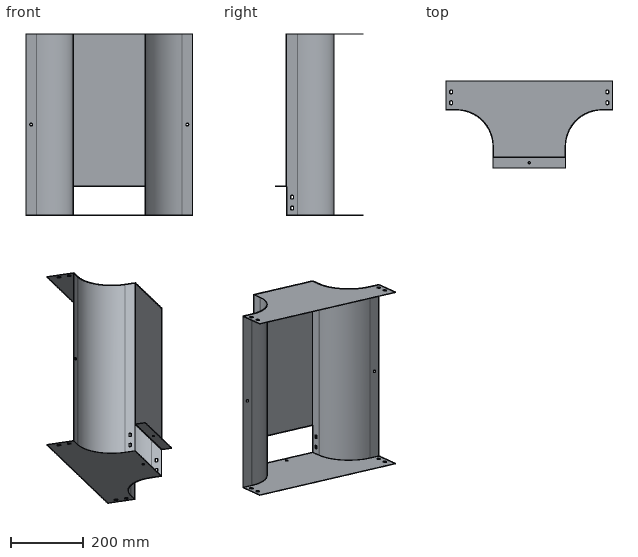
import cadquery as cq
import math

sheet = 1.0
run_length = 460.0
branch_width = 200.0
height = 500.0
tab = 30.0
run_depth = 80.0
bend_radius = run_length / 2 - tab - branch_width / 2
branch_depth = run_depth + bend_radius + tab
opening_height = 80.0

slot_length = 10.0
slot_width = 7.0
slot_pitch = 30.0
slots_per_row = 2
lowest_slot_height = 20.0
run_slot_offset = 30.0
flange_hole_diameter = 5.0
margin_hole_diameter = 7.0

half_run = run_length / 2
half_branch = branch_width / 2
bend_start = half_run - tab
margin_center = tab / 2
back_y = (branch_depth + tab) / 2
run_front_y = back_y - run_depth
branch_front_y = back_y - branch_depth
bend_center_y = run_front_y - bend_radius
bottom_z = -height / 2
flange_z = bottom_z + opening_height - sheet
panel_height = height / 2 - flange_z

diagonal = math.sqrt(0.5)


def tee_plate(z):
    """Horizontal tee-shaped sheet whose underside is at z."""
    arc_offset = bend_radius * diagonal
    arc_x = bend_start - arc_offset
    arc_y = bend_center_y + arc_offset
    outline = (
        cq.Workplane("XY", origin=(0, 0, z))
        .moveTo(-half_run, back_y)
        .lineTo(half_run, back_y)
        .lineTo(half_run, run_front_y)
        .lineTo(bend_start, run_front_y)
        .threePointArc((arc_x, arc_y), (half_branch, bend_center_y))
        .lineTo(half_branch, branch_front_y)
        .lineTo(-half_branch, branch_front_y)
        .lineTo(-half_branch, bend_center_y)
        .threePointArc((-arc_x, arc_y), (-bend_start, run_front_y))
        .lineTo(-half_run, run_front_y)
        .close()
    )
    return outline.extrude(sheet)


def side_wall():
    """Full-height +X wall: run margin, quarter-round bend and branch margin."""
    inner_radius = bend_radius + sheet
    outer_offset = bend_radius * diagonal
    inner_offset = inner_radius * diagonal
    return (
        cq.Workplane("XY", origin=(0, 0, bottom_z))
        .moveTo(half_run, run_front_y)
        .lineTo(bend_start, run_front_y)
        .threePointArc(
            (bend_start - outer_offset, bend_center_y + outer_offset),
            (half_branch, bend_center_y),
        )
        .lineTo(half_branch, branch_front_y)
        .lineTo(half_branch - sheet, branch_front_y)
        .lineTo(half_branch - sheet, bend_center_y)
        .threePointArc(
            (bend_start - inner_offset, bend_center_y + inner_offset),
            (bend_start, run_front_y + sheet),
        )
        .lineTo(half_run, run_front_y + sheet)
        .close()
        .extrude(height)
    )


def front_panel():
    """Panel on the branch's front edges, with an outward flange at its lower edge."""
    panel = (
        cq.Workplane("XY", origin=(0, branch_front_y - sheet, flange_z))
        .box(branch_width, sheet, panel_height, centered=(True, False, False))
    )
    flange = (
        cq.Workplane("XY", origin=(0, branch_front_y - tab, flange_z))
        .box(branch_width, tab, sheet, centered=(True, False, False))
    )
    return panel.union(flange)


def flattened_hole():
    """Circle with two parallel flat sides, long along the local Y axis."""
    return cq.Sketch().circle(slot_length / 2).rect(slot_width, slot_length, mode="i")


def run_slots():
    """Cutters along Z for the slot pairs at both run ends, through floor and top."""
    slot_x = half_run - margin_center
    first_y = back_y - run_slot_offset
    points = [(x, first_y - i * slot_pitch) for x in (-slot_x, slot_x) for i in range(slots_per_row)]
    return (
        cq.Workplane("XY", origin=(0, 0, bottom_z))
        .pushPoints(points)
        .placeSketch(flattened_hole())
        .extrude(height)
    )


def branch_slots():
    """Cutters along X for the slot pairs in both branch margins."""
    slot_y = branch_front_y + margin_center
    first_z = bottom_z + lowest_slot_height
    return (
        cq.Workplane("YZ", origin=(-half_branch, 0, 0))
        .pushPoints([(slot_y, first_z + i * slot_pitch) for i in range(slots_per_row)])
        .placeSketch(flattened_hole())
        .extrude(branch_width)
    )


def margin_holes():
    """Cutters along Y for the mid-height hole in each run margin."""
    hole_x = half_run - margin_center
    return (
        cq.Workplane("XZ", origin=(0, run_front_y + sheet, 0))
        .pushPoints([(-hole_x, 0), (hole_x, 0)])
        .circle(margin_hole_diameter / 2)
        .extrude(sheet)
    )


def vertical_hole(diameter, y, z):
    """Cutter through one horizontal sheet on the part's centre line."""
    return cq.Workplane("XY", origin=(0, y, z)).circle(diameter / 2).extrude(sheet)


wall = side_wall()
body = (
    tee_plate(bottom_z)
    .union(tee_plate(-bottom_z - sheet))
    .union(wall)
    .union(wall.mirror("YZ"))
    .union(front_panel())
)

flange_hole = vertical_hole(flange_hole_diameter, branch_front_y - margin_center, flange_z)
floor_hole = vertical_hole(margin_hole_diameter, branch_front_y + margin_center, bottom_z)
result = (
    body.cut(run_slots())
    .cut(branch_slots())
    .cut(margin_holes())
    .cut(flange_hole)
    .cut(floor_hole)
)